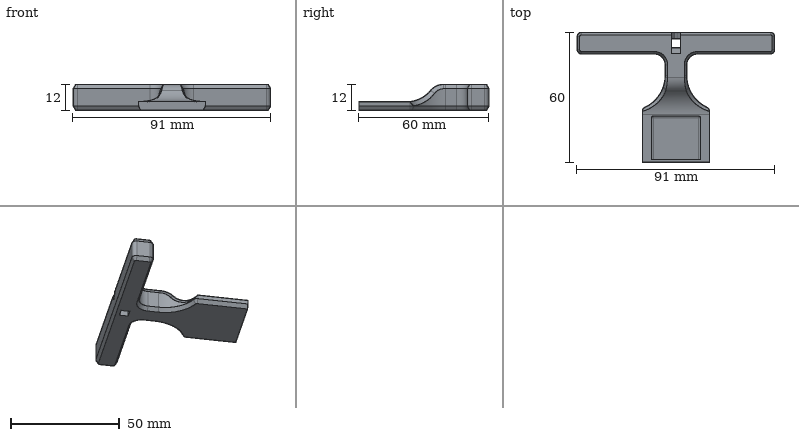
import cadquery as cq
import math

handle_length = 91
handle_depth = 10
total_depth = 60.0
height = 12.0
neck_half = 5.0
blade_half = 15.5
blade_thickness = 4.0

corner_radius = 2.0
inner_radius = 5.0
flare_radius = 16.0
flare_start_y = -20

bevel_side = 2.0
bevel_angle = 30
bevel_face = bevel_side * math.tan(math.radians(bevel_angle))
bevel_steps = 6
bevel_overshoot = 0.7

drop_start_y = -20.9
crest_radius = 7.8
hollow_radius = 14.2

slot_width = 4.0
slot_depth = 9.8
opening_back = 3.0
opening_front = 7.1
ramp_angle = 60
groove_top = height - 2.0
groove_angle = 60
groove_radius = 0.5

pocket_width = 22.75
pocket_length = 20
pocket_depth = 3.0
pocket_radius = 1.0
front_wall = 1.4

handle_half = handle_length / 2
flare_center_x = neck_half + flare_radius

shoulder_x = blade_half - corner_radius
centers_distance = flare_radius + corner_radius
shoulder_y = flare_start_y - math.sqrt(centers_distance**2 - (flare_center_x - shoulder_x) ** 2)
tangent_share = flare_radius / centers_distance
shoulder_start_x = flare_center_x + (shoulder_x - flare_center_x) * tangent_share
shoulder_start_y = flare_start_y + (shoulder_y - flare_start_y) * tangent_share

bend_angle = math.acos(1 - (height - blade_thickness) / (crest_radius + hollow_radius))
bend_y = drop_start_y - crest_radius * math.sin(bend_angle)
bend_z = height - crest_radius * (1 - math.cos(bend_angle))
drop_end_y = bend_y - hollow_radius * math.sin(bend_angle)


def handle_and_neck():
    """Right half of the plan outline, from the middle of the back edge to the start of the flare."""
    return (
        cq.Workplane("XY")
        .moveTo(0, 0)
        .lineTo(handle_half - corner_radius, 0)
        .radiusArc((handle_half, -corner_radius), corner_radius)
        .lineTo(handle_half, corner_radius - handle_depth)
        .radiusArc((handle_half - corner_radius, -handle_depth), corner_radius)
        .lineTo(neck_half + inner_radius, -handle_depth)
        .radiusArc((neck_half, -handle_depth - inner_radius), -inner_radius)
        .lineTo(neck_half, flare_start_y)
    )


def space_above_blade():
    """Everything above the side profile, from the top of the neck to the end of the blade."""
    return (
        cq.Workplane("YZ")
        .moveTo(drop_start_y, height)
        .radiusArc((bend_y, bend_z), -crest_radius)
        .radiusArc((drop_end_y, blade_thickness), hollow_radius)
        .lineTo(-total_depth, blade_thickness)
        .lineTo(-total_depth, height)
        .close()
        .extrude(handle_half, both=True)
    )


def upper_body():
    """Body with the side profile and the top bevel; its blade is wider than the finished one."""
    flare_foot_y = flare_start_y - flare_radius
    wide_half = flare_center_x + corner_radius
    body = (
        handle_and_neck()
        .radiusArc((flare_center_x, flare_foot_y), -flare_radius)
        .lineTo(wide_half, flare_foot_y)
        .lineTo(wide_half, -total_depth)
        .lineTo(0, -total_depth)
        .mirrorY()
        .extrude(height)
        .cut(space_above_blade())
    )
    back_edge = body.faces(">Y").edges(">Z")
    return back_edge.chamfer(bevel_side, bevel_face)


def flare_bevel_section(flare_angle, on_crest):
    """Triangle that cuts the bevel at one place on the right flare.

    The root lies bevel_face inside the flare wall and bevel_side below the sloping top.
    The bevel runs between the feet of the perpendiculars from the root to those two surfaces.
    """
    wall_normal = cq.Vector(math.cos(flare_angle), math.sin(flare_angle), 0)
    root_radius = flare_radius + bevel_face
    root_x = flare_center_x - root_radius * math.cos(flare_angle)
    root_y = flare_start_y - root_radius * math.sin(flare_angle)
    if on_crest:
        slope = math.asin((drop_start_y - root_y) / (crest_radius - bevel_side))
        root_z = height - crest_radius + (crest_radius - bevel_side) * math.cos(slope)
    else:
        slope = math.asin((root_y - drop_end_y) / (hollow_radius + bevel_side))
        root_z = blade_thickness + hollow_radius - (hollow_radius + bevel_side) * math.cos(slope)
    top_normal = cq.Vector(0, -math.sin(slope), math.cos(slope))

    root = cq.Vector(root_x, root_y, root_z)
    to_wall = wall_normal * bevel_face
    to_top = top_normal * bevel_side
    corners = [
        root + to_wall * 2 - to_top,
        root + to_top * 2 - to_wall,
        root + (to_wall + to_top) * 3,
    ]
    return cq.Wire.makePolygon(corners, close=True)


def flare_bevel(start_y, end_y, on_crest):
    """Cutter for the flare bevel along one arc of the side profile."""
    root_radius = flare_radius + bevel_face
    start_angle = math.asin((flare_start_y - start_y) / root_radius)
    end_angle = math.asin((flare_start_y - end_y) / root_radius)
    step = (end_angle - start_angle) / bevel_steps
    sections = [flare_bevel_section(start_angle + i * step, on_crest) for i in range(bevel_steps + 1)]
    return cq.Workplane(cq.Solid.makeLoft(sections))


def flare_bevels():
    """Bevel cutters for both flares; they end just past the sides of the blade."""
    root_bend_y = drop_start_y - (crest_radius - bevel_side) * math.sin(bend_angle)
    root_end_y = flare_start_y - flare_radius - bevel_overshoot
    right = flare_bevel(drop_start_y, root_bend_y, True).union(flare_bevel(root_bend_y, root_end_y, False))
    return right.union(right.mirror("YZ"))


def lower_body():
    """Full-height prism of the finished outline with the bottom bevel."""
    body = (
        handle_and_neck()
        .radiusArc((shoulder_start_x, shoulder_start_y), -flare_radius)
        .radiusArc((blade_half, shoulder_y), corner_radius)
        .lineTo(blade_half, -total_depth)
        .lineTo(0, -total_depth)
        .mirrorY()
        .extrude(height)
    )
    return body.faces(">Y").edges("<Z").chamfer(bevel_side, bevel_face)


def keyring_slot():
    """Slot with a ramped front wall, an opening through the underside and a grooved bar at the back."""
    slot_half = slot_width / 2
    ramp_drop = (slot_depth - opening_front) * math.tan(math.radians(ramp_angle))
    opening = (
        cq.Workplane("YZ")
        .moveTo(-slot_depth, height)
        .lineTo(-opening_front, height - ramp_drop)
        .lineTo(-opening_front, 0)
        .lineTo(-opening_back, 0)
        .lineTo(-opening_back, height)
        .close()
        .extrude(slot_half, both=True)
    )
    groove_bottom = groove_top - slot_half * math.tan(math.radians(groove_angle))
    groove = (
        cq.Workplane("XZ")
        .moveTo(-slot_half, height)
        .lineTo(-slot_half, groove_top)
        .lineTo(0, groove_bottom)
        .lineTo(slot_half, groove_top)
        .lineTo(slot_half, height)
        .close()
        .extrude(opening_back)
        .edges("|Y and <Z")
        .fillet(groove_radius)
    )
    return opening.union(groove)


def blade_pocket():
    """Pocket with a rounded floor edge and rounded back corners; its front wall is square."""
    front_y = front_wall - total_depth
    return (
        cq.Workplane("XY", origin=(0, front_y + pocket_length / 2, blade_thickness - pocket_depth))
        .rect(pocket_width, pocket_length)
        .extrude(pocket_depth)
        .edges("|Z and >Y")
        .fillet(pocket_radius)
        .faces("<Z")
        .edges(">Y")
        .fillet(pocket_radius)
    )


result = upper_body().cut(flare_bevels()).intersect(lower_body()).cut(keyring_slot()).cut(blade_pocket())